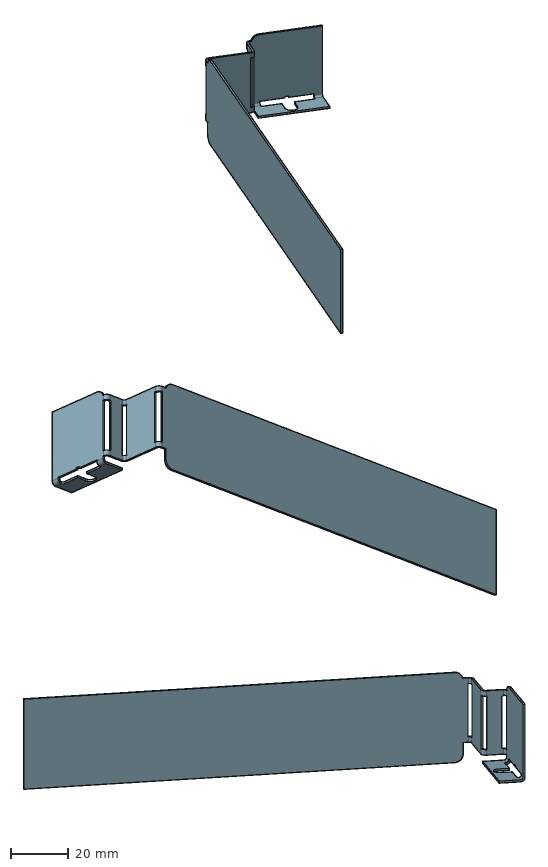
import cadquery as cq

thickness = 0.8
inner_radius = 0.8
outer_radius = inner_radius + thickness

length = 168.8
depth = 45.4
height = 32.5

neck_bottom = 7.1
neck_top = 30.4
wing_right = 9.3
wing_left = wing_right - thickness
web_front = 17.5
web_back = web_front + thickness

plate_left = 12.0
tab_front = 19.4
shelf_bottom = 4.5
corner_radius = 3.0

slot_bottom = 9.1
slot_top = 28.4
slot_reach = 2.2
slot_corner_radius = 0.7
bend_overlap = 0.2
shelf_slot_front = 22.6
shelf_slot_back = 42.4
shelf_slot_top = 6.5

notch_width = 4.5
notch_tip = 8.3
nick_width = 1.4
nick_top = 7.1


def block(x0, x1, y0, y1, z0, z1):
    """Box between two opposite corners."""
    return cq.Workplane("XY").box(x1 - x0, y1 - y0, z1 - z0, centered=False).translate((x0, y0, z0))


def round_bend(body, axis, inner, outer):
    """Round the inside and outside edges of a right-angle bend at the given corner points."""
    for point, radius in ((inner, inner_radius), (outer, outer_radius)):
        body = body.edges(axis).edges(cq.selectors.NearestToPointSelector(point)).fillet(radius)
    return body


def make_neck():
    """Folded strip with three bends about Z, overlapping the plate and the tab past their rounded corners."""
    plate_end = plate_left + corner_radius
    tab_end = tab_front + corner_radius
    points = [
        (0, tab_end), (0, web_front), (wing_left, web_front), (wing_left, 0), (plate_end, 0),
        (plate_end, thickness), (wing_right, thickness), (wing_right, web_back),
        (thickness, web_back), (thickness, tab_end),
    ]
    strip = cq.Workplane("XY").polyline(points).close().extrude(neck_top - neck_bottom)
    strip = strip.translate((0, 0, neck_bottom))
    middle = (neck_bottom + neck_top) / 2
    bends = [
        ((thickness, web_back, middle), (0, web_front, middle)),
        ((wing_left, web_front, middle), (wing_right, web_back, middle)),
        ((wing_right, thickness, middle), (wing_left, 0, middle)),
    ]
    for inner, outer in bends:
        strip = round_bend(strip, "|Z", inner, outer)
    return strip


def make_plate():
    plate = block(plate_left, length, 0, thickness, 0, height)
    return plate.edges("|Y and <X").fillet(corner_radius)


def make_tab_and_shelf():
    """Upright tab with the shelf folded out along its bottom edge."""
    tab = block(0, thickness, tab_front, depth, shelf_bottom, height)
    tab = tab.edges("|X and >Z and <Y").fillet(corner_radius)
    shelf = block(0, wing_right, tab_front, depth, shelf_bottom, shelf_bottom + thickness)
    middle = (tab_front + depth) / 2
    inner = (thickness, middle, shelf_bottom + thickness)
    return round_bend(tab.union(shelf), "|Y", inner, (0, middle, shelf_bottom))


def neck_slots():
    """Relief slots through the three neck bends."""
    tab_slot = block(-slot_reach, slot_reach, 0, tab_front, slot_bottom, slot_top)
    tab_slot = tab_slot.edges("|Y and >X").fillet(slot_corner_radius)
    tab_slot = tab_slot.intersect(block(-slot_reach, slot_reach, web_front, tab_front, 0, height))
    middle_slot = block(
        wing_right - outer_radius - bend_overlap, wing_right,
        web_back - outer_radius - bend_overlap, web_back, slot_bottom, slot_top,
    )
    plate_slot = block(
        wing_left, wing_left + outer_radius + bend_overlap,
        0, slot_reach, slot_bottom, slot_top,
    )
    return tab_slot.union(middle_slot).union(plate_slot)


def shelf_openings():
    """Relief slot along the shelf bend, the round-ended notch and the nick above it."""
    middle = (tab_front + depth) / 2
    notch_radius = notch_width / 2
    slot = block(-slot_reach, slot_reach, shelf_slot_front, shelf_slot_back, 0, shelf_slot_top)
    slot = slot.edges("|Z and >X").fillet(slot_corner_radius)
    notch_center = notch_tip - notch_radius
    notch = block(0, notch_center, middle - notch_radius, middle + notch_radius, 0, shelf_slot_top)
    notch_end = cq.Workplane("XY").center(notch_center, middle).circle(notch_radius).extrude(shelf_slot_top)
    nick = block(0, thickness, middle - nick_width / 2, middle + nick_width / 2, 0, nick_top)
    return slot.union(notch).union(notch_end).union(nick)


result = make_neck().union(make_plate()).union(make_tab_and_shelf())
result = result.cut(neck_slots()).cut(shelf_openings())